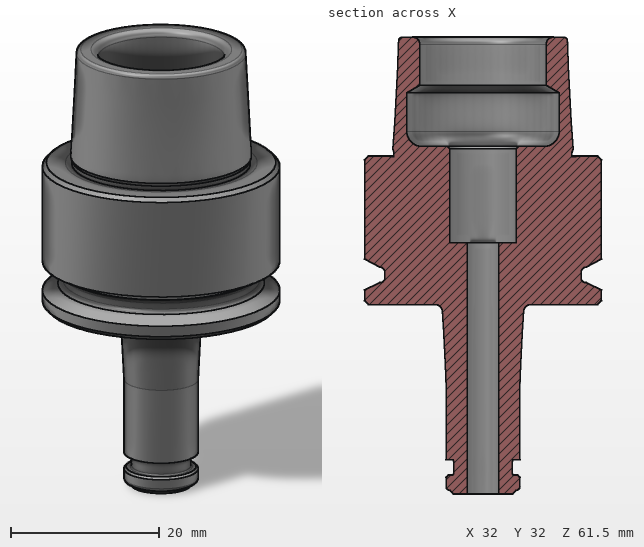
import cadquery as cq
import math

LENGTH = 61.5

SHANK_R = 10.0 / 2
TIP_R = 4.0
TIP_CHAMFER_R = 8.9 / 2
TIP_CHAMFER_TOP = 0.5
TIP_ROUND_TOP = 1.05
KNOB_TOP = 2.6
KNOB_EDGE = 0.3
GROOVE_R = TIP_R
GROOVE_TOP = 4.6
GROOVE_ROUND = 0.2
SHANK_TOP = 14.95

NECK_TOP_R = 11.0 / 2
NECK_TOP = 24.55
NECK_ROUND = 0.9

FLANGE_R = 16.0
FLANGE_BOTTOM = 25.45
FLANGE_TOP = 45.5
FLANGE_EDGE = 0.55
GRIP_R = 26.5 / 2
GRIP_CONE_R = 13.9
GRIP_LOWER_EDGE = 27.5
GRIP_LOWER_CONE = 28.5
GRIP_FLOOR_BOTTOM = 29.0
GRIP_FLOOR_TOP = 29.9
GRIP_UPPER_CONE = 30.5
GRIP_UPPER_EDGE = 31.6

RELIEF_R = 24.05 / 2
RELIEF_FOOT_R = 12.9
RELIEF_FOOT_DEPTH = 0.1
RELIEF_TOP = 46.0

TAPER_BASE_R = 12.2
TAPER_BASE = 46.45
TAPER_TOP_R = 22.8 / 2
TAPER_EDGE = 0.55

MOUTH_R = 8.5
MOUTH_ROUND = 1.0
LIP_BOTTOM = 55.0
LIP_ANGLE = 30.0
CAVITY_R = 20.5 / 2
CAVITY_FLOOR = 46.8
CAVITY_ROUND = 2.0
COUNTERBORE_R = 8.9 / 2
COUNTERBORE_CHAMFER = 0.3
COUNTERBORE_FLOOR = 33.8
THROUGH_R = 2.1

ARC_MID = math.sqrt(0.5)


def rounded_to(profile, start, end, corner):
    """Add a circular arc from start to end that bulges towards corner."""
    mid = tuple(
        s + e - c + (c - (s + e - c)) * ARC_MID
        for s, e, c in zip(start, end, corner)
    )
    return profile.threePointArc(mid, end)


def outer_body():
    """Revolve the outside profile from the shank tip to the taper top."""
    profile = (
        cq.Workplane("XZ")
        .lineTo(TIP_R, 0)
        .lineTo(TIP_CHAMFER_R, TIP_CHAMFER_TOP)
    )
    profile = rounded_to(
        profile,
        (TIP_CHAMFER_R, TIP_CHAMFER_TOP),
        (SHANK_R, TIP_ROUND_TOP),
        (SHANK_R, TIP_CHAMFER_TOP),
    )
    profile = (
        profile.lineTo(SHANK_R, KNOB_TOP - KNOB_EDGE)
        .lineTo(SHANK_R - KNOB_EDGE, KNOB_TOP)
        .lineTo(GROOVE_R + GROOVE_ROUND, KNOB_TOP)
    )
    profile = rounded_to(
        profile,
        (GROOVE_R + GROOVE_ROUND, KNOB_TOP),
        (GROOVE_R, KNOB_TOP + GROOVE_ROUND),
        (GROOVE_R, KNOB_TOP),
    )
    profile = profile.lineTo(GROOVE_R, GROOVE_TOP - GROOVE_ROUND)
    profile = rounded_to(
        profile,
        (GROOVE_R, GROOVE_TOP - GROOVE_ROUND),
        (GROOVE_R + GROOVE_ROUND, GROOVE_TOP),
        (GROOVE_R, GROOVE_TOP),
    )
    profile = (
        profile.lineTo(SHANK_R, GROOVE_TOP)
        .lineTo(SHANK_R, SHANK_TOP)
        .lineTo(NECK_TOP_R, NECK_TOP)
    )
    profile = rounded_to(
        profile,
        (NECK_TOP_R, NECK_TOP),
        (NECK_TOP_R + NECK_ROUND, FLANGE_BOTTOM),
        (NECK_TOP_R, FLANGE_BOTTOM),
    )
    profile = (
        profile.lineTo(FLANGE_R - FLANGE_EDGE, FLANGE_BOTTOM)
        .lineTo(FLANGE_R, FLANGE_BOTTOM + FLANGE_EDGE)
        .lineTo(FLANGE_R, GRIP_LOWER_EDGE)
        .lineTo(GRIP_CONE_R, GRIP_LOWER_CONE)
    )
    profile = rounded_to(
        profile,
        (GRIP_CONE_R, GRIP_LOWER_CONE),
        (GRIP_R, GRIP_FLOOR_BOTTOM),
        (GRIP_R, GRIP_LOWER_CONE),
    )
    profile = profile.lineTo(GRIP_R, GRIP_FLOOR_TOP)
    profile = rounded_to(
        profile,
        (GRIP_R, GRIP_FLOOR_TOP),
        (GRIP_CONE_R, GRIP_UPPER_CONE),
        (GRIP_R, GRIP_UPPER_CONE),
    )
    profile = (
        profile.lineTo(FLANGE_R, GRIP_UPPER_EDGE)
        .lineTo(FLANGE_R, FLANGE_TOP - FLANGE_EDGE)
        .lineTo(FLANGE_R - FLANGE_EDGE, FLANGE_TOP)
        .lineTo(RELIEF_FOOT_R, FLANGE_TOP)
        .lineTo(RELIEF_R, FLANGE_TOP - RELIEF_FOOT_DEPTH)
        .lineTo(RELIEF_R, RELIEF_TOP)
        .lineTo(TAPER_BASE_R, TAPER_BASE)
        .lineTo(TAPER_TOP_R, LENGTH - TAPER_EDGE)
    )
    profile = rounded_to(
        profile,
        (TAPER_TOP_R, LENGTH - TAPER_EDGE),
        (TAPER_TOP_R - TAPER_EDGE, LENGTH),
        (TAPER_TOP_R, LENGTH),
    )
    return profile.lineTo(0, LENGTH).close().revolve(360, (0, 0, 0), (0, 1, 0))


def bore():
    """Revolve the hollow: through hole, counterbore, undercut cavity and mouth."""
    lip_height = (CAVITY_R - MOUTH_R) * math.tan(math.radians(LIP_ANGLE))
    profile = (
        cq.Workplane("XZ")
        .lineTo(THROUGH_R, 0)
        .lineTo(THROUGH_R, COUNTERBORE_FLOOR)
        .lineTo(COUNTERBORE_R, COUNTERBORE_FLOOR)
        .lineTo(COUNTERBORE_R, CAVITY_FLOOR - COUNTERBORE_CHAMFER)
        .lineTo(COUNTERBORE_R + COUNTERBORE_CHAMFER, CAVITY_FLOOR)
        .lineTo(CAVITY_R - CAVITY_ROUND, CAVITY_FLOOR)
    )
    profile = rounded_to(
        profile,
        (CAVITY_R - CAVITY_ROUND, CAVITY_FLOOR),
        (CAVITY_R, CAVITY_FLOOR + CAVITY_ROUND),
        (CAVITY_R, CAVITY_FLOOR),
    )
    profile = (
        profile.lineTo(CAVITY_R, LIP_BOTTOM - lip_height)
        .lineTo(MOUTH_R, LIP_BOTTOM)
        .lineTo(MOUTH_R, LENGTH - MOUTH_ROUND)
    )
    profile = rounded_to(
        profile,
        (MOUTH_R, LENGTH - MOUTH_ROUND),
        (MOUTH_R + MOUTH_ROUND, LENGTH),
        (MOUTH_R, LENGTH),
    )
    return profile.lineTo(0, LENGTH).close().revolve(360, (0, 0, 0), (0, 1, 0))


result = outer_body().cut(bore())